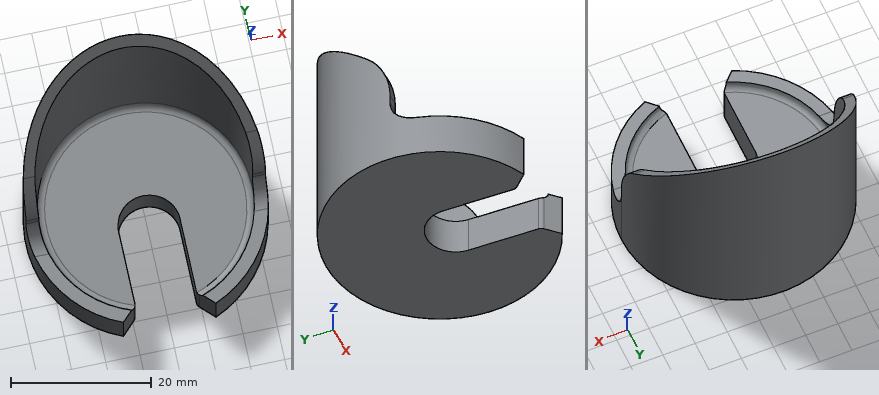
import cadquery as cq
import math

outer_radius = 17.45
height = 34.92
rim_height = 7.0

floor_thickness = 5.97
floor_fillet = 1.05
cavity_floor_radius = 15.45
cavity_top_radius = 16.1

slope_angle = 45.0
upright_edge_y = 0.0
shoulder_radius = 12.5
step_radius = 3.9

slot_radius = 4.47
slot_center_y = -2.48
mouth_half_width = 6.75
mouth_corner_radius = 1.0

cut_margin = 3.5


def make_cavity():
    """Tapered bore above the floor, widening towards the top."""
    cavity = cq.Solid.makeCone(
        cavity_floor_radius,
        cavity_top_radius,
        height - floor_thickness,
        pnt=cq.Vector(0, 0, floor_thickness),
    )
    return cq.Workplane("XY").add(cavity).faces("<Z").edges().fillet(floor_fillet)


def make_front_cut():
    """Material removed above the slope and the front rim, across the full width."""
    slope = math.tan(math.radians(slope_angle))
    slope_foot_z = height - slope * (outer_radius - upright_edge_y)
    far = outer_radius + cut_margin
    far_top_z = height + slope * cut_margin
    block = (
        cq.Workplane("YZ")
        .moveTo(-far, rim_height)
        .lineTo(upright_edge_y, rim_height)
        .lineTo(upright_edge_y, slope_foot_z)
        .lineTo(far, far_top_z)
        .lineTo(-far, far_top_z)
        .close()
        .extrude(far, both=True)
    )
    step_corner = cq.selectors.NearestToPointSelector((0, upright_edge_y, rim_height))
    shoulder_corner = cq.selectors.NearestToPointSelector((0, upright_edge_y, slope_foot_z))
    block = block.edges("|X").edges(step_corner).fillet(step_radius)
    return block.edges("|X").edges(shoulder_corner).fillet(shoulder_radius)


def make_slot():
    """Round-ended slot through the floor, flaring at 45 degrees at the outer wall."""
    mouth_y = -math.sqrt(outer_radius**2 - mouth_half_width**2)
    flare_start_y = mouth_y + mouth_half_width - slot_radius
    far_y = -outer_radius - cut_margin
    far_half_width = slot_radius + flare_start_y - far_y
    slot = (
        cq.Workplane("XY")
        .moveTo(-slot_radius, slot_center_y)
        .threePointArc((0, slot_center_y + slot_radius), (slot_radius, slot_center_y))
        .lineTo(slot_radius, flare_start_y)
        .lineTo(far_half_width, far_y)
        .lineTo(-far_half_width, far_y)
        .lineTo(-slot_radius, flare_start_y)
        .close()
        .extrude(height)
    )
    for side in (-1, 1):
        corner = cq.selectors.NearestToPointSelector((side * slot_radius, flare_start_y, height / 2))
        slot = slot.edges("|Z").edges(corner).fillet(mouth_corner_radius)
    return slot


cup = cq.Workplane("XY").circle(outer_radius).extrude(height)
result = cup.cut(make_cavity()).cut(make_front_cut()).cut(make_slot())